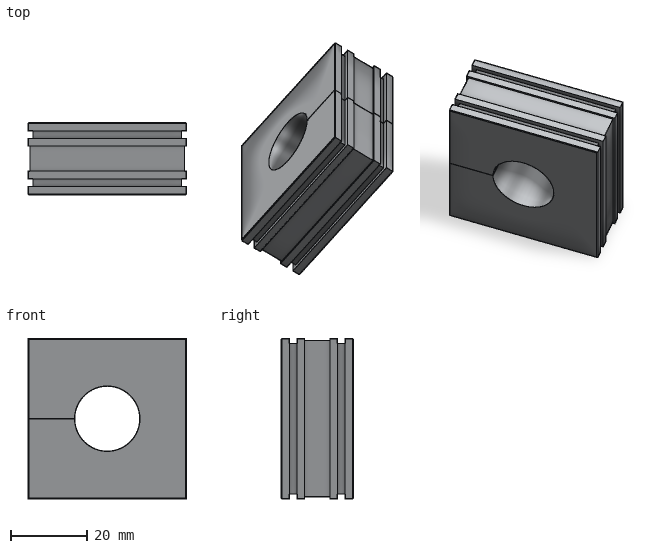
import cadquery as cq

width = 41.5
depth = 19.0
height = 42.0

flange_thickness = 2.23
groove_width = 1.97
rib_thickness = 2.0
groove_depth = 1.25
middle_recess = 0.5
edge_chamfer = 0.2

bore_diameter = 17.0
slit_height = 0.1

groove_center = depth / 2 - flange_thickness - groove_width / 2
middle_width = depth - 2 * (flange_thickness + groove_width + rib_thickness)


def perimeter_channel(center_y, channel_width, channel_depth):
    """Ring of material removed all round the four outer sides."""
    outer = cq.Workplane("XY").box(width, channel_width, height)
    core = cq.Workplane("XY").box(
        width - 2 * channel_depth, channel_width, height - 2 * channel_depth
    )
    return outer.cut(core).translate((0, center_y, 0))


block = cq.Workplane("XY").box(width, depth, height)
block = block.faces("<Y or >Y").edges().chamfer(edge_chamfer)

for side in (-1, 1):
    block = block.cut(perimeter_channel(side * groove_center, groove_width, groove_depth))
block = block.cut(perimeter_channel(0, middle_width, middle_recess))

bore = cq.Workplane("XZ").circle(bore_diameter / 2).extrude(depth / 2, both=True)
block = block.cut(bore)

slit = cq.Workplane("XY").box(width / 2, depth, slit_height).translate((-width / 4, 0, 0))
result = block.cut(slit)